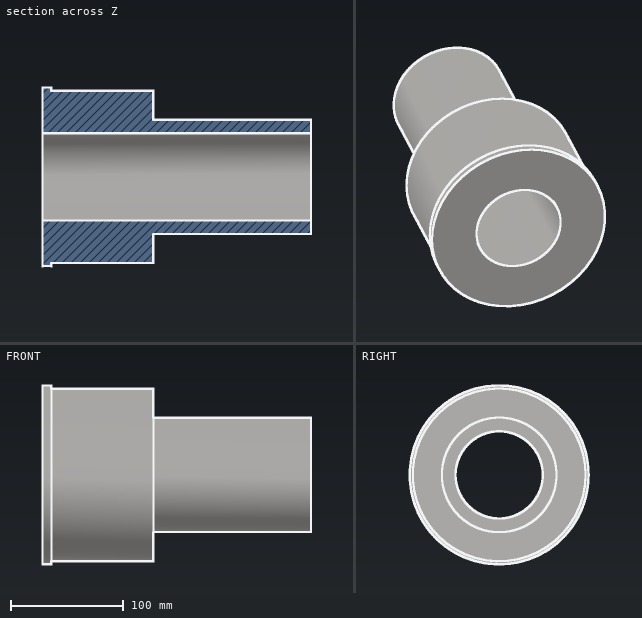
import cadquery as cq

total_length = 238.1
flange_diameter = 158.8
flange_thickness = 7.9
body_diameter = 153.0
body_end = 98.3
neck_diameter = 101.7
bore_diameter = 77.2


def cylinder_along_x(diameter, start, end):
    """Solid cylinder centred on the X axis between two X positions."""
    return cq.Workplane("YZ", origin=(start, 0, 0)).circle(diameter / 2).extrude(end - start)


flange = cylinder_along_x(flange_diameter, 0, flange_thickness)
body = cylinder_along_x(body_diameter, 0, body_end)
neck = cylinder_along_x(neck_diameter, 0, total_length)
bore = cylinder_along_x(bore_diameter, 0, total_length)

result = flange.union(body).union(neck).cut(bore)